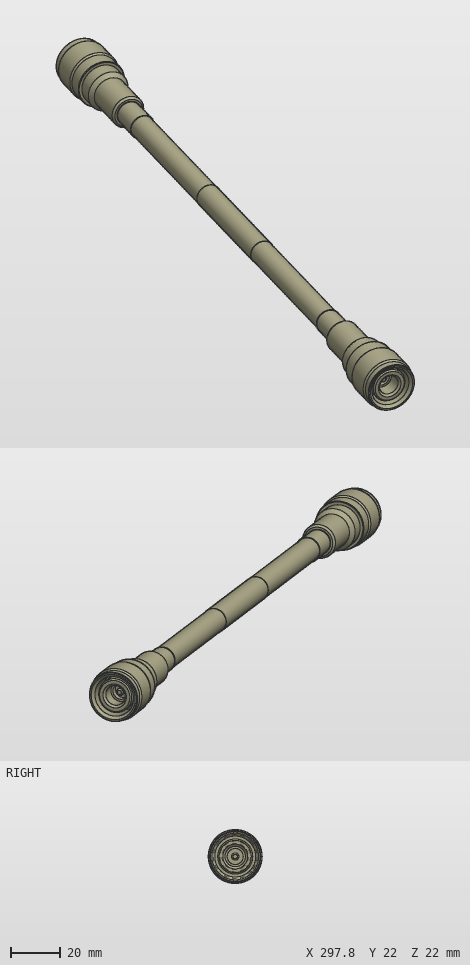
import cadquery as cq

OVERALL_LENGTH = 297.8
HALF_LENGTH = OVERALL_LENGTH / 2

GRIP_RADIUS = 11.0
NUT_RADIUS = 10.5
GRIP_START = 4.0
GRIP_END = 14.5
GRIP_BEVEL = 1.0
NUT_END = 21.7
NUT_CHAMFER = 0.3
SHOULDER_RADIUS = 9.0
SHOULDER_END = 29.8

SOCKET_RADIUS = 8.3
SOCKET_DEPTH = 12.0
SOCKET_CHAMFER = 1.2
SLEEVE_RECESS = 1.8
SLEEVE_RADIUS = 7.0
SLEEVE_CHAMFER = 0.5
SLEEVE_MOUTH_RADIUS = 5.0
SLEEVE_BORE_RADIUS = 4.2
SLEEVE_BORE_DEPTH = 9.0
PIN_SEAT_RADIUS = 3.3
PIN_RADIUS = 1.5
PIN_CHAMFER = 0.5
PIN_RECESS = 7.5

FERRULE_RADIUS = 7.0
FERRULE_END = 47.5
FERRULE_CHAMFER = 1.0
SHOULDER_CHAMFER = SHOULDER_RADIUS - FERRULE_RADIUS

SHRINK_RADIUS = 5.5
SHRINK_END = 60.5

CABLE_RADIUS = 5.0
LABEL_RADIUS = 5.2
LABEL_LENGTH = 51.2


def rod(radius, start, end):
    """Round bar along X between two X positions."""
    return cq.Workplane("YZ").workplane(offset=start).circle(radius).extrude(end - start)


def tube(radius, start, end):
    """Sleeve that fits closely over the cable."""
    return rod(radius, start, end).cut(rod(CABLE_RADIUS, start, end))


def revolve_outline(points):
    """Solid of revolution about X from (distance, radius) points."""
    return cq.Workplane("XY").polyline(points).close().revolve(360, (0, 0, 0), (1, 0, 0))


def make_connector_shell():
    return revolve_outline([
        (0, 0),
        (0, NUT_RADIUS - NUT_CHAMFER),
        (NUT_CHAMFER, NUT_RADIUS),
        (GRIP_START - GRIP_BEVEL, NUT_RADIUS),
        (GRIP_START, GRIP_RADIUS),
        (GRIP_END, GRIP_RADIUS),
        (GRIP_END + GRIP_BEVEL, NUT_RADIUS),
        (NUT_END - NUT_CHAMFER, NUT_RADIUS),
        (NUT_END, NUT_RADIUS - NUT_CHAMFER),
        (NUT_END, SHOULDER_RADIUS),
        (SHOULDER_END - SHOULDER_CHAMFER, SHOULDER_RADIUS),
        (SHOULDER_END, FERRULE_RADIUS),
        (SHOULDER_END, 0),
    ])


def make_socket():
    """Space removed from the shell, widening at its mouth."""
    return revolve_outline([
        (0, 0),
        (0, SOCKET_RADIUS + SOCKET_CHAMFER),
        (SOCKET_CHAMFER, SOCKET_RADIUS),
        (SOCKET_DEPTH, SOCKET_RADIUS),
        (SOCKET_DEPTH, 0),
    ])


def make_inner_sleeve():
    """Sleeve standing in the socket, with a 45 degree bevelled mouth and a bore that steps in round the pin."""
    return revolve_outline([
        (SOCKET_DEPTH, SLEEVE_RADIUS),
        (SLEEVE_RECESS + SLEEVE_CHAMFER, SLEEVE_RADIUS),
        (SLEEVE_RECESS, SLEEVE_RADIUS - SLEEVE_CHAMFER),
        (SLEEVE_RECESS, SLEEVE_MOUTH_RADIUS),
        (SLEEVE_RECESS + SLEEVE_MOUTH_RADIUS - SLEEVE_BORE_RADIUS, SLEEVE_BORE_RADIUS),
        (SLEEVE_BORE_DEPTH, SLEEVE_BORE_RADIUS),
        (SLEEVE_BORE_DEPTH, PIN_SEAT_RADIUS),
        (SOCKET_DEPTH, PIN_SEAT_RADIUS),
    ])


def make_connector():
    pin = rod(PIN_RADIUS, PIN_RECESS, SOCKET_DEPTH).faces("<X").chamfer(PIN_CHAMFER)
    return make_connector_shell().cut(make_socket()).union(make_inner_sleeve()).union(pin)


def make_ferrule():
    """Crimp tube with a chamfer at its cable end."""
    ferrule = tube(FERRULE_RADIUS, SHOULDER_END, FERRULE_END)
    return ferrule.edges(cq.selectors.RadiusNthSelector(-1)).edges(">X").chamfer(FERRULE_CHAMFER)


def make_shrink_tube():
    return tube(SHRINK_RADIUS, FERRULE_END, SHRINK_END)


def make_cable():
    """Cable running from one connector's shoulder to the other's."""
    half = HALF_LENGTH - SHOULDER_END
    return rod(CABLE_RADIUS, -half, half)


def make_label():
    half = LABEL_LENGTH / 2
    return tube(LABEL_RADIUS, -half, half)


bodies = [make_cable().val(), make_label().val()]
for make_body in (make_connector, make_ferrule, make_shrink_tube):
    left_body = make_body().translate((-HALF_LENGTH, 0, 0))
    right_body = left_body.mirror("YZ")
    bodies.append(left_body.val())
    bodies.append(right_body.val())

result = cq.Compound.makeCompound(bodies)